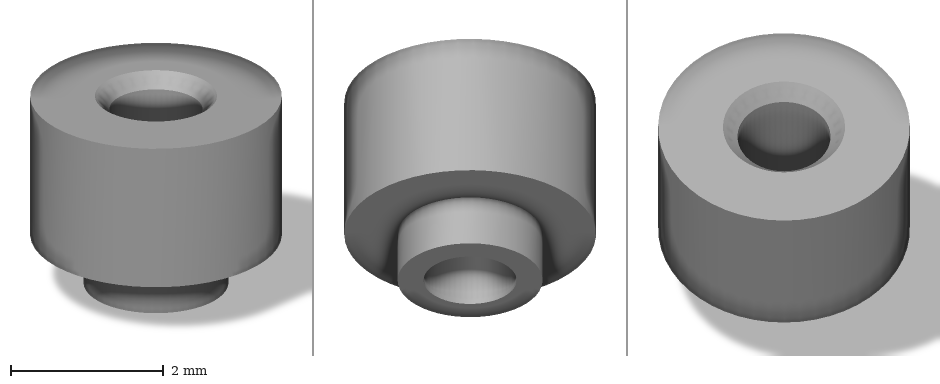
import cadquery as cq

HEAD_DIAMETER = 3.3
HEAD_HEIGHT = 2.0
SPIGOT_DIAMETER = 1.9
SPIGOT_HEIGHT = 0.7
BORE_DIAMETER = 1.22
COUNTERSINK_DIAMETER = 1.6

COUNTERSINK_DEPTH = (COUNTERSINK_DIAMETER - BORE_DIAMETER) / 2


def make_body():
    """Cylindrical head seated on z = 0 with a smaller spigot below it."""
    head = cq.Workplane("XY").circle(HEAD_DIAMETER / 2).extrude(HEAD_HEIGHT)
    spigot = cq.Workplane("XY").circle(SPIGOT_DIAMETER / 2).extrude(-SPIGOT_HEIGHT)
    return head.union(spigot)


def make_bore():
    """Through bore from the spigot end to the top face."""
    return (
        cq.Workplane("XY", origin=(0, 0, -SPIGOT_HEIGHT))
        .circle(BORE_DIAMETER / 2)
        .extrude(SPIGOT_HEIGHT + HEAD_HEIGHT)
    )


def make_countersink():
    """Cone that opens the bore at the top face."""
    cone = cq.Solid.makeCone(
        BORE_DIAMETER / 2,
        COUNTERSINK_DIAMETER / 2,
        COUNTERSINK_DEPTH,
        pnt=cq.Vector(0, 0, HEAD_HEIGHT - COUNTERSINK_DEPTH),
    )
    return cq.Workplane(obj=cone)


result = make_body().cut(make_bore()).cut(make_countersink())